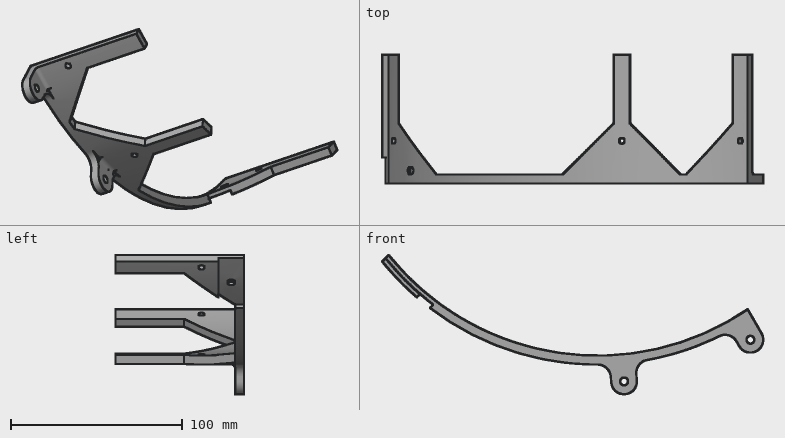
import cadquery as cq
import math

inner_radius = 155.3
thickness = 5.3
outer_radius = inner_radius + thickness
rail_width = 5.3
total_width = 75.0
overall_length = 222.0

left_tilt, left_start, left_end = -45.0, -17.5, -8.5
middle_tilt, middle_start, middle_end = 5.2, -4.7, 4.7
right_tilt, right_start = 30.0, 1.0
gusset_size = 29.7
gusset_top = rail_width + gusset_size

arm_hole_diameter = 3.3
arm_hole_y = 24.9
rail_hole_diameter = 4.5
rail_hole_offset = 1.5
rail_hole_y = 7.5

lug_radius = 7.5
lug_hole_diameter = 4.5
lug_distance = 171.0
middle_lug_offset = 0.0

left_angle = math.radians(left_tilt)
right_angle = math.radians(right_tilt)
left_corner_depth = math.sqrt(outer_radius**2 - left_start**2)
left_corner_x = left_start * math.cos(left_angle) + left_corner_depth * math.sin(left_angle)
right_lug_x = left_corner_x + overall_length - lug_radius
right_lug_offset = (right_lug_x - lug_distance * math.sin(right_angle)) / math.cos(right_angle)
right_end = right_lug_offset + lug_radius

lug_side_fillet = 7.5
lug_back_fillet = 2.2

recess_width = 15.0
recess_depth = 2.7
recess_end = left_end + gusset_size

cut_reach = 2 * outer_radius
tolerance = 0.02


def tilted_plane(tilt):
    """Plane through the rail axis: x along the tilted tangent, y along the rail width."""
    angle = math.radians(tilt)
    return cq.Plane(
        origin=(0, 0, 0),
        xDir=(math.cos(angle), 0, math.sin(angle)),
        normal=(-math.sin(angle), 0, math.cos(angle)),
    )


def cylinder(radius, width):
    return cq.Workplane("XZ").circle(radius).extrude(-width)


def lower_block(tilt, start, end, bottom, top):
    """Rectangular prism reaching outward from the rail axis along the tilted radius."""
    return (
        cq.Workplane(tilted_plane(tilt))
        .moveTo((start + end) / 2, (bottom + top) / 2)
        .rect(end - start, top - bottom)
        .extrude(-cut_reach)
    )


def arm_prism(tilt, start, end, gusset_sides):
    """Prism over an arm, with a 45 degree gusset toward the rail on each listed side."""
    prism = lower_block(tilt, start, end, 0, total_width)
    for side in gusset_sides:
        edge = start if side < 0 else end
        root = edge + side * gusset_size
        outline = [(edge, 0), (root, 0), (root, rail_width), (edge, gusset_top)]
        gusset = cq.Workplane(tilted_plane(tilt)).polyline(outline).close().extrude(-cut_reach)
        prism = prism.union(gusset)
    return prism


def lug(tilt, offset):
    """Round-ended lug in the rail's width, hanging along the tilted radius."""
    root = inner_radius + thickness / 2
    body = (
        cq.Workplane("XZ")
        .moveTo(offset, -(root + lug_distance) / 2)
        .rect(2 * lug_radius, lug_distance - root)
        .extrude(-rail_width)
    )
    tip = cq.Workplane("XZ").center(offset, -lug_distance).circle(lug_radius).extrude(-rail_width)
    return body.union(tip).rotate((0, 0, 0), (0, 1, 0), -tilt)


def lug_hole(tilt, offset):
    hole = (
        cq.Workplane("XZ")
        .center(offset, -lug_distance)
        .circle(lug_hole_diameter / 2)
        .extrude(-rail_width)
    )
    return hole.rotate((0, 0, 0), (0, 1, 0), -tilt)


def lug_back_fillet_ring():
    """Concave ring around the rail axis that fills the corner behind a lug."""
    shell_middle = inner_radius + thickness / 2
    fillet_outer_radius = outer_radius + lug_back_fillet
    fillet_back = rail_width + lug_back_fillet
    arc_inset = lug_back_fillet * (1 - math.sqrt(0.5))
    return (
        cq.Workplane("XY")
        .moveTo(shell_middle, rail_width)
        .lineTo(fillet_outer_radius, rail_width)
        .threePointArc((outer_radius + arc_inset, rail_width + arc_inset), (outer_radius, fillet_back))
        .lineTo(shell_middle, fillet_back)
        .close()
        .revolve(360, (0, 0, 0), (0, 1, 0))
    )


def drill(tilt, offset, y, diameter):
    return (
        cq.Workplane(tilted_plane(tilt)).center(offset, y).circle(diameter / 2).extrude(-cut_reach)
    )


def tangent_offset(edge, tilt):
    """Position of an edge's center along the tangent at the given tilt."""
    angle = math.radians(tilt)
    center = edge.Center()
    return center.x * math.cos(angle) + center.z * math.sin(angle)


def distance_from_axis(edge):
    center = edge.Center()
    return math.hypot(center.x, center.z)


shell = cylinder(outer_radius, total_width).cut(cylinder(inner_radius, total_width))
span = lower_block(left_tilt, left_start, cut_reach, 0, total_width).intersect(
    lower_block(right_tilt, -cut_reach, right_end, 0, total_width)
)
shell = shell.intersect(span)

lugs = [(middle_tilt, middle_lug_offset), (right_tilt, right_lug_offset)]
rail = shell.intersect(lower_block(0, -cut_reach, cut_reach, 0, rail_width))
for tilt, offset in lugs:
    rail = rail.union(lug(tilt, offset))
rail = rail.clean()
lug_corners = [
    edge
    for edge in rail.edges("|Y").vals()
    if abs(distance_from_axis(edge) - outer_radius) < tolerance
    and edge.Center().x > 0
    and tangent_offset(edge, right_tilt) < right_end - tolerance
]
rail = rail.newObject(lug_corners).fillet(lug_side_fillet)

arms = [
    (left_tilt, left_start, left_end, [1]),
    (middle_tilt, middle_start, middle_end, [-1, 1]),
    (right_tilt, right_start, right_end, [-1]),
]
body = rail
for tilt, start, end, gusset_sides in arms:
    body = body.union(shell.intersect(arm_prism(tilt, start, end, gusset_sides)))
body = body.clean()

fillet_ring = lug_back_fillet_ring()
for tilt, offset in lugs:
    behind_lug = lower_block(
        tilt, offset - lug_radius, offset + lug_radius, rail_width, rail_width + lug_back_fillet
    )
    body = body.union(fillet_ring.intersect(behind_lug))

recess = (
    lower_block(left_tilt, left_start, recess_end, 0, recess_width)
    .cut(cylinder(outer_radius - recess_depth, total_width))
)
body = body.cut(recess)

for tilt, start, end, _ in arms:
    body = body.cut(drill(tilt, (start + end) / 2, arm_hole_y, arm_hole_diameter))
body = body.cut(drill(left_tilt, rail_hole_offset, rail_hole_y, rail_hole_diameter))
for tilt, offset in lugs:
    body = body.cut(lug_hole(tilt, offset))

result = body